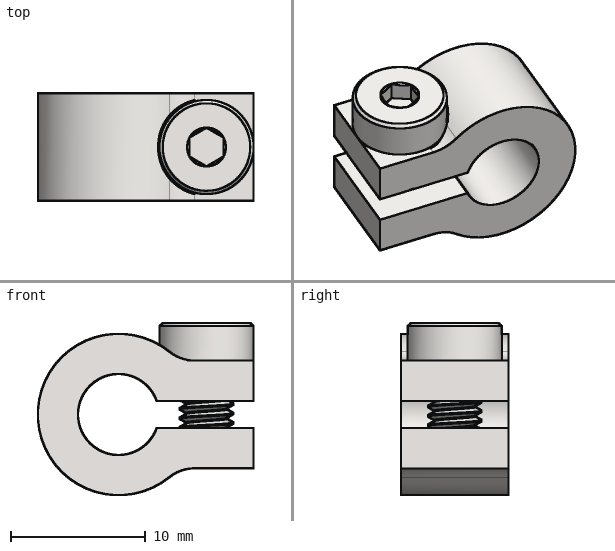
import cadquery as cq
import math

width = 8.0
ring_radius = 6.0
bore_radius = 3.0
slit = 2.0
lug_half_height = 4.0
blend_radius = 3.0

screw_x = 6.53
head_radius = 3.5
head_height = 2.8
head_chamfer = 0.25
seat_clearance = 0.1
hex_across_flats = 2.5
hex_depth = 1.4
hex_lead_in_angle = 30.0
hex_sides = 6

thread_radius = 2.0
pitch = 0.7
thread_flat = pitch / 8
flank_slope = math.tan(math.radians(30))
crest_height = 0.07

lug_end = screw_x + head_radius
head_top = lug_half_height + head_height
hex_corner_radius = hex_across_flats / 2 / math.cos(math.pi / hex_sides)
thread_depth = (pitch - 2 * thread_flat) / 2 / flank_slope


def upright_cylinder(radius, bottom, top):
    """Cylinder on the screw axis between two heights."""
    return (
        cq.Workplane("XY", origin=(screw_x, 0, bottom))
        .circle(radius)
        .extrude(top - bottom)
    )


def make_clamp():
    """Ring and lugs with concave blends, bore, slit and screw head seat."""
    blend_center_z = lug_half_height + blend_radius
    center_distance = ring_radius + blend_radius
    blend_end_x = math.sqrt(center_distance**2 - blend_center_z**2)
    tangent_x = blend_end_x * ring_radius / center_distance
    tangent_z = blend_center_z * ring_radius / center_distance

    start_angle = math.atan2(tangent_z - blend_center_z, tangent_x - blend_end_x)
    middle_angle = (start_angle - math.pi / 2) / 2
    middle_x = blend_end_x + blend_radius * math.cos(middle_angle)
    middle_z = blend_center_z + blend_radius * math.sin(middle_angle)

    outline = (
        cq.Workplane("XZ")
        .moveTo(tangent_x, tangent_z)
        .threePointArc((-ring_radius, 0), (tangent_x, -tangent_z))
        .threePointArc((middle_x, -middle_z), (blend_end_x, -lug_half_height))
        .lineTo(lug_end, -lug_half_height)
        .lineTo(lug_end, lug_half_height)
        .lineTo(blend_end_x, lug_half_height)
        .threePointArc((middle_x, middle_z), (tangent_x, tangent_z))
        .close()
        .extrude(width / 2, both=True)
    )
    bore = cq.Workplane("XZ").circle(bore_radius).extrude(width, both=True)
    gap = cq.Workplane("XY").box(lug_end, width, slit, centered=(False, True, True))
    seat = upright_cylinder(head_radius + seat_clearance, lug_half_height, head_top)
    return outline.cut(bore).cut(gap).cut(seat)


def make_head():
    """Chamfered screw head with a hexagon socket and its conical lead-in."""
    head = upright_cylinder(head_radius, lug_half_height, head_top)
    head = head.faces(">Z").edges().chamfer(head_chamfer)
    socket = (
        cq.Workplane("XY", origin=(screw_x, 0, head_top))
        .transformed(rotate=(0, 0, 90))
        .polygon(hex_sides, 2 * hex_corner_radius)
        .extrude(-hex_depth)
    )

    cone_height = hex_corner_radius * math.tan(math.radians(hex_lead_in_angle))
    cone_tip = cq.Vector(screw_x, 0, head_top - cone_height)
    lead_in = cq.Solid.makeCone(0, hex_corner_radius, cone_height, cone_tip)
    return head.cut(socket).cut(lead_in)


def make_thread():
    """Right-handed threaded shank that bridges the slit."""
    rod = upright_cylinder(thread_radius, -lug_half_height, lug_half_height)
    turns_below = 3
    turns = 6
    groove_start = crest_height + pitch / 2 - turns_below * pitch
    helix = cq.Wire.makeHelix(pitch, turns * pitch, thread_radius)

    overshoot = 0.02
    root_half = thread_flat / 2
    mouth_half = root_half + (thread_depth + overshoot) * flank_slope
    root_x = thread_radius - thread_depth
    mouth_x = thread_radius + overshoot
    groove = (
        cq.Workplane("XZ")
        .polyline(
            [(root_x, -root_half), (mouth_x, -mouth_half), (mouth_x, mouth_half), (root_x, root_half)]
        )
        .close()
        .sweep(cq.Workplane(helix), isFrenet=True)
        .translate((screw_x, 0, groove_start))
    )
    exposed_length = upright_cylinder(head_radius, -slit / 2, slit / 2)
    return rod.cut(groove).intersect(exposed_length)


result = make_clamp().union(make_head()).union(make_thread())